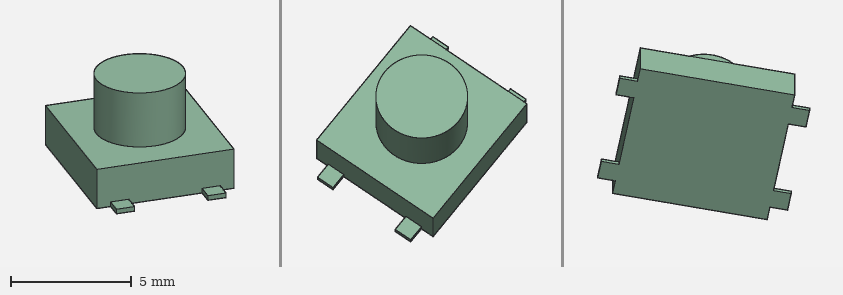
import cadquery as cq

span_x = 8.0
total_height = 4.27

body_x = 6.51
body_y = 6.0
body_height = 1.8

button_diameter = 3.8
button_height = total_height - body_height

terminal_width = 0.8
terminal_thickness = 0.22
terminal_pitch = 4.0

body = cq.Workplane("XY").box(body_x, body_y, body_height, centered=(True, True, False))

button = (
    cq.Workplane("XY")
    .workplane(offset=body_height)
    .circle(button_diameter / 2)
    .extrude(button_height)
)

terminals = (
    cq.Workplane("XY")
    .pushPoints([(0, -terminal_pitch / 2), (0, terminal_pitch / 2)])
    .rect(span_x, terminal_width)
    .extrude(terminal_thickness)
)

result = body.union(button).union(terminals)